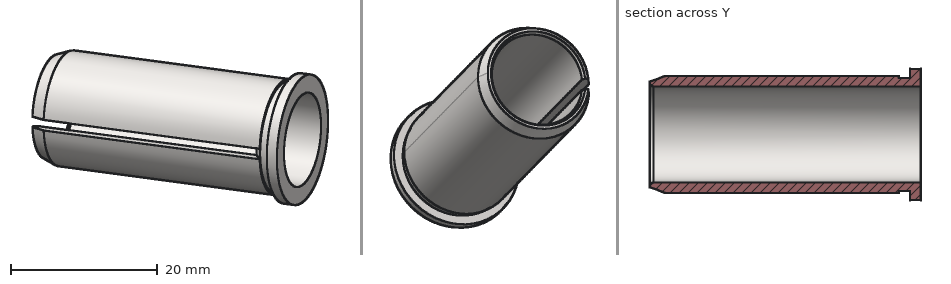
import cadquery as cq
import math

overall_length = 37.0
flange_thickness = 1.5
groove_width = 1.5
lead_in_length = 2.0
bore_chamfer_length = 0.5

bore_diameter = 13.0
groove_diameter = 15.5
body_diameter = 16.0
flange_diameter = 18.0
tip_diameter = 14.5

bore_chamfer_angle = 30.0

slot_width = 1.5
slot_end_angle = 52.0
slot_end_radius = 7.87

bore_radius = bore_diameter / 2
groove_radius = groove_diameter / 2
body_radius = body_diameter / 2
flange_radius = flange_diameter / 2
flange_start = overall_length - flange_thickness
groove_start = flange_start - groove_width
tip_outer_radius = tip_diameter / 2
tip_bore_radius = bore_radius + bore_chamfer_length * math.tan(math.radians(bore_chamfer_angle))


def make_sleeve():
    """Revolve the wall section (X along the axis, Y as radius) about the X axis."""
    section = [
        (0, tip_bore_radius),
        (0, tip_outer_radius),
        (lead_in_length, body_radius),
        (groove_start, body_radius),
        (groove_start, groove_radius),
        (flange_start, groove_radius),
        (flange_start, flange_radius),
        (overall_length, flange_radius),
        (overall_length, bore_radius),
        (bore_chamfer_length, bore_radius),
    ]
    return cq.Workplane("XY").polyline(section).close().revolve(360, (0, 0, 0), (1, 0, 0))


def make_slot_cutter():
    """Slot through the -Y wall; its sloped end stops at the groove start, just under the body surface."""
    inner_depth = bore_radius / 2
    end_run = (slot_end_radius - inner_depth) / math.tan(math.radians(slot_end_angle))
    outline = [
        (0, -inner_depth),
        (groove_start - end_run, -inner_depth),
        (groove_start, -slot_end_radius),
        (groove_start, -body_radius),
        (0, -body_radius),
    ]
    return cq.Workplane("XY").polyline(outline).close().extrude(slot_width / 2, both=True)


result = make_sleeve().cut(make_slot_cutter())